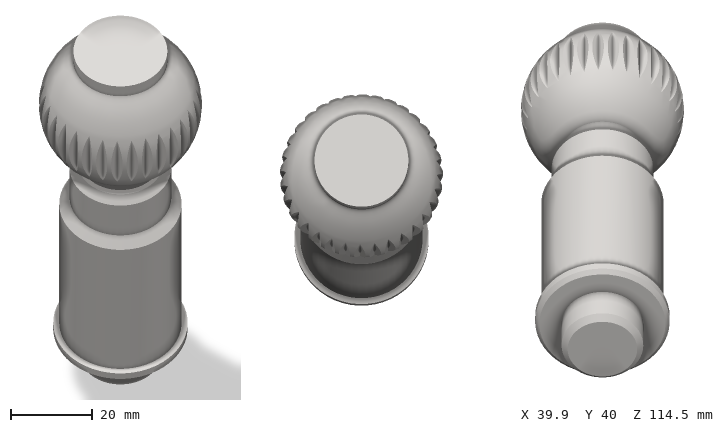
import cadquery as cq
import math

total_height = 114.5
axis_bottom = (0, 0)
axis_top = (0, 1)

ball_diameter = 40.0
ball_radius = ball_diameter / 2
ball_center_z = total_height - ball_radius
cap_radius = 23.0 / 2
collar_radius = 20.0 / 2
collar_chamfer = 1.0

groove_count = 33
groove_depth = 1.5
groove_angle = 90.0

sleeve_top_z = 73.0
upper_radius = 25.0 / 2
upper_chamfer = 2.0
shoulder_z = 60.0
lower_radius = 30.0 / 2
shoulder_chamfer = lower_radius - upper_radius
flange_radius = 33.0 / 2
flange_top_z = 13.0
flange_bottom_z = 10.0
flange_chamfer = 1.0

pin_radius = collar_radius
pin_chamfer = 1.5


def revolve_profile(profile):
    """Turn a closed (radius, height) profile, drawn in the XZ plane, about the Z axis."""
    return profile.revolve(360, axis_bottom, axis_top)


def ball_height_at(radius):
    """Height above the ball center where the sphere has the given radius from the axis."""
    return math.sqrt(ball_radius**2 - radius**2)


def make_grip_grooves():
    """V-shaped cutters, the first one on +X, spaced evenly around the ball."""
    root_radius = ball_radius - groove_depth
    cutter_depth = 2 * groove_depth
    half_width = cutter_depth * math.tan(math.radians(groove_angle / 2))
    half_length = ball_radius / 2
    cutter = (
        cq.Workplane("XY", origin=(0, 0, ball_center_z))
        .moveTo(root_radius, 0)
        .lineTo(root_radius + cutter_depth, -half_width)
        .lineTo(root_radius + cutter_depth, half_width)
        .close()
        .extrude(half_length, both=True)
    )
    pitch_angle = 360 / groove_count
    return [cutter.rotate((0, 0, 0), (0, 0, 1), i * pitch_angle) for i in range(groove_count)]


def make_knob():
    """Grooved ball whose collar rests on the top face of the sleeve."""
    profile = (
        cq.Workplane("XZ")
        .moveTo(0, sleeve_top_z)
        .lineTo(collar_radius - collar_chamfer, sleeve_top_z)
        .lineTo(collar_radius, sleeve_top_z + collar_chamfer)
        .lineTo(collar_radius, ball_center_z - ball_height_at(collar_radius))
        .threePointArc(
            (ball_radius, ball_center_z),
            (cap_radius, ball_center_z + ball_height_at(cap_radius)),
        )
        .lineTo(cap_radius, total_height)
        .lineTo(0, total_height)
        .close()
    )
    knob = revolve_profile(profile)
    for groove in make_grip_grooves():
        knob = knob.cut(groove)
    return knob


def make_sleeve():
    """Stepped sleeve with a foot flange and a chamfered pin end."""
    profile = (
        cq.Workplane("XZ")
        .moveTo(0, 0)
        .lineTo(pin_radius - pin_chamfer, 0)
        .lineTo(pin_radius, pin_chamfer)
        .lineTo(pin_radius, flange_bottom_z)
        .lineTo(flange_radius - flange_chamfer, flange_bottom_z)
        .lineTo(flange_radius, flange_bottom_z + flange_chamfer)
        .lineTo(flange_radius, flange_top_z)
        .lineTo(lower_radius, flange_top_z)
        .lineTo(lower_radius, shoulder_z - shoulder_chamfer)
        .lineTo(upper_radius, shoulder_z)
        .lineTo(upper_radius, sleeve_top_z - upper_chamfer)
        .lineTo(upper_radius - upper_chamfer, sleeve_top_z)
        .lineTo(0, sleeve_top_z)
        .close()
    )
    return revolve_profile(profile)


knob = make_knob()
sleeve = make_sleeve()

result = cq.Compound.makeCompound([knob.val(), sleeve.val()])